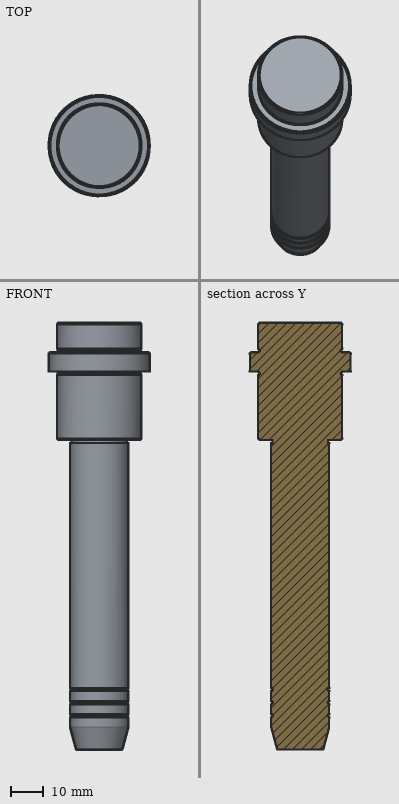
import cadquery as cq
import math

total_length = 131.0
head_radius = 26.0 / 2
flange_radius = 31.0 / 2
shank_radius = 18.0 / 2

flange_top = total_length - 9.0
flange_bottom = flange_top - 6.0
collar_bottom = total_length - 36.0

edge_chamfer = 0.5
relief_width = 1.0
relief_depth = 0.5
neck_length = 0.9
neck_depth = 0.4

taper_length = 7.0
taper_angle = 15.0
tip_fillet = 0.5

groove_count = 3
groove_span = 8.0
groove_pitch = groove_span / (groove_count - 1)
first_groove_height = 10.5
groove_width = 1.0
groove_depth = 0.5


def cylinder(radius, bottom, top):
    return cq.Workplane("XY").workplane(offset=bottom).circle(radius).extrude(top - bottom)


def ring_groove(surface_radius, center_height, width, depth):
    """V-shaped ring to be removed from a cylinder of the given radius."""
    return (
        cq.Workplane("XZ")
        .moveTo(surface_radius, center_height - width / 2)
        .lineTo(surface_radius, center_height + width / 2)
        .lineTo(surface_radius - depth, center_height)
        .close()
        .revolve(360, (0, 0, 0), (0, 1, 0))
    )


def make_head():
    """Head and collar: one diameter, relieved on both sides of the flange."""
    head = cylinder(head_radius, collar_bottom, total_length).edges().chamfer(edge_chamfer)
    for center in (flange_top + relief_width / 2, flange_bottom - relief_width / 2):
        head = head.cut(ring_groove(head_radius, center, relief_width, relief_depth))
    flange = cylinder(flange_radius, flange_bottom, flange_top).edges(">Z").chamfer(edge_chamfer)
    return head.union(flange)


def make_shank():
    """Shank with a neck under the collar, a tapered tip and ring grooves."""
    tip_radius = shank_radius - taper_length * math.tan(math.radians(taper_angle))
    tip = (
        cq.Workplane("XY")
        .circle(tip_radius)
        .workplane(offset=taper_length)
        .circle(shank_radius)
        .loft(ruled=True)
        .faces("<Z")
        .edges()
        .fillet(tip_fillet)
    )
    neck_bottom = collar_bottom - neck_length
    shank = tip.union(cylinder(shank_radius, taper_length, neck_bottom))
    shank = shank.union(cylinder(shank_radius - neck_depth, neck_bottom, collar_bottom))
    for index in range(groove_count):
        center = first_groove_height + index * groove_pitch
        shank = shank.cut(ring_groove(shank_radius, center, groove_width, groove_depth))
    return shank


result = make_head().union(make_shank())